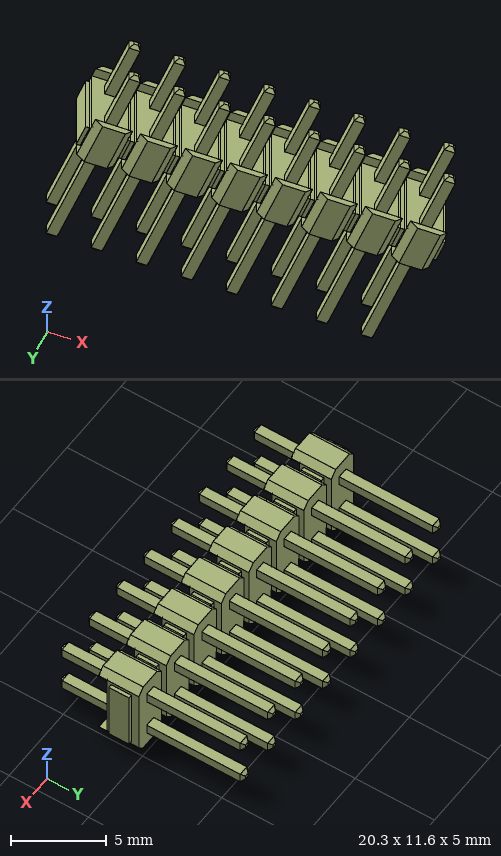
import cadquery as cq

overall_length = 20.32
segment_count = 8
pitch = overall_length / segment_count

block_width = 2.1
block_depth = pitch
block_height = 5.0
corner_chamfer = 0.4
recess_depth = 0.53

tab_depth = 1.28
tab_height = 3.8
tab_back_offset = 0.47

pin_size = 0.63
pin_front_length = 3.0
pin_back_length = 6.1
tip_length = 0.2
tip_size = 0.25

block_front = -block_depth / 2
block_back = block_depth / 2
tab_center_y = block_back - tab_back_offset - tab_depth / 2
pin_front = block_front - pin_front_length
pin_back = block_back + pin_back_length


def make_block():
    """Block with chamfered long edges and a front recess that leaves a lip above and below."""
    block = cq.Workplane("XY").box(block_width, block_depth, block_height)
    block = block.edges("|Y").chamfer(corner_chamfer)
    recess_height = block_height - 2 * corner_chamfer
    recess = cq.Workplane("XY").box(block_width, recess_depth, recess_height)
    return block.cut(recess.translate((0, block_front + recess_depth / 2, 0)))


def make_tab():
    """Bar through the block that reaches the neighbouring segments on both sides."""
    return cq.Workplane("XY").box(pitch, tab_depth, tab_height).translate((0, tab_center_y, 0))


def make_tip(base_y, end_y):
    """Tapered pin end, from the full pin section at base_y to the small flat at end_y."""
    base = cq.Wire.makePolygon(square_corners(pin_size, base_y), close=True)
    end = cq.Wire.makePolygon(square_corners(tip_size, end_y), close=True)
    return cq.Workplane(cq.Solid.makeLoft([base, end], True))


def square_corners(size, y):
    """Corners of a square centred on the Y axis, in the plane at the given y."""
    half = size / 2
    return [cq.Vector(x, y, z) for x, z in ((-half, -half), (half, -half), (half, half), (-half, half))]


def make_pin():
    """Square pin along Y with a tapered tip at each end."""
    shank_front = pin_front + tip_length
    shank_back = pin_back - tip_length
    shank = cq.Workplane("XY").box(pin_size, shank_back - shank_front, pin_size)
    shank = shank.translate((0, (shank_front + shank_back) / 2, 0))
    return shank.union(make_tip(shank_front, pin_front)).union(make_tip(shank_back, pin_back))


def make_segment():
    """One segment: block, tabs and its lower and upper pin as a single solid."""
    segment = make_block().union(make_tab())
    pin = make_pin()
    for pin_z in (-pitch / 2, pitch / 2):
        segment = segment.union(pin.translate((0, 0, pin_z)))
    return segment.solids().val()


segment = make_segment()
first_x = -(segment_count - 1) * pitch / 2
segments = [segment.translate(cq.Vector(first_x + i * pitch, 0, 0)) for i in range(segment_count)]

result = cq.Compound.makeCompound(segments)